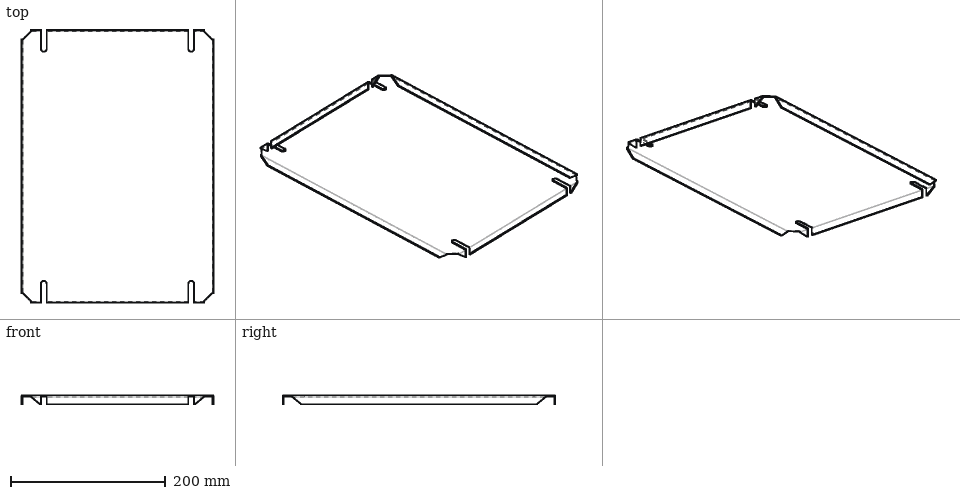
import cadquery as cq

width = 248.5
length = 352.7
height = 12.0

sheet = 1.8
inner_radius = 0.5
bend_radius = sheet + inner_radius

corner_leg = 12.5
flange_taper_end = 24.5

slot_width = 7.0
slot_depth = 28.2
slot_spacing = 190.5


def rounded_block(size_x, size_y, size_z, radius):
    """Block with its base at Z = 0 and its upper side edges rounded."""
    block = cq.Workplane("XY").box(size_x, size_y, size_z, centered=(True, True, False))
    return block.faces(">Z").edges().fillet(radius)


def folded_shell():
    """Top panel with a downward flange along every edge."""
    outside = rounded_block(width, length, height, bend_radius)
    inside = rounded_block(width - 2 * sheet, length - 2 * sheet, height - sheet, inner_radius)
    return outside.cut(inside)


def corner_relief():
    """Clipped corner at -X, -Y, squared off across both bends."""
    x0 = -width / 2
    y0 = -length / 2
    outline = [
        (x0, y0),
        (x0 + corner_leg, y0),
        (x0 + corner_leg, y0 + bend_radius),
        (x0 + bend_radius, y0 + corner_leg),
        (x0, y0 + corner_leg),
    ]
    return cq.Workplane("XY").polyline(outline).close().extrude(height)


def flange_taper(plane, edge, flange_face):
    """Sloped cut at one flange end, extruded through the flange thickness.

    edge is the end of the flange along the plane's local x direction, and
    flange_face is the position of its outer face along the plane's normal.
    """
    start = edge + corner_leg
    outline = [
        (start, height - bend_radius),
        (edge + flange_taper_end, 0),
        (start, 0),
    ]
    profile = cq.Workplane(plane).workplane(offset=flange_face).polyline(outline).close()
    inward = -bend_radius if flange_face > 0 else bend_radius
    return profile.extrude(inward)


def edge_slot():
    """Round-ended slot open at the -Y edge, on the -X side."""
    x = -slot_spacing / 2
    edge = -length / 2
    radius = slot_width / 2
    arc_center = edge + slot_depth - radius
    return (
        cq.Workplane("XY")
        .moveTo(x - radius, edge)
        .lineTo(x - radius, arc_center)
        .threePointArc((x, edge + slot_depth), (x + radius, arc_center))
        .lineTo(x + radius, edge)
        .close()
        .extrude(height)
    )


corner_cuts = [
    corner_relief(),
    flange_taper("XZ", -width / 2, length / 2),
    flange_taper("YZ", -length / 2, -width / 2),
    edge_slot(),
]

result = folded_shell()
for cut in corner_cuts:
    opposite_x = cut.mirror("YZ")
    for tool in (cut, opposite_x):
        result = result.cut(tool).cut(tool.mirror("XZ"))